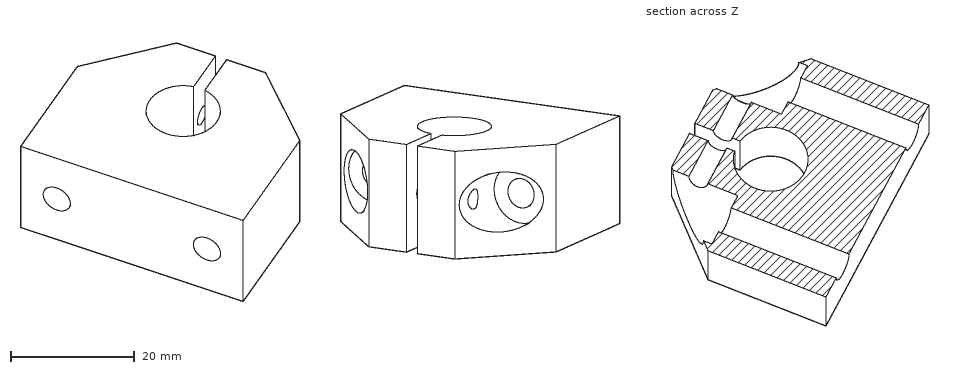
import cadquery as cq

WIDTH = 40.0
DEPTH = 33.0
HEIGHT = 18.0
CORNER_CUT = 12.0

BORE_DIAMETER = 12.0
BORE_Y = 19.0
SLOT_WIDTH = 2.0

SCREW_SPACING = 27.0
SCREW_DIAMETER = 4.9
COUNTERBORE_DIAMETER = 10.0

CLAMP_DIAMETER = 3.3
CLAMP_FROM_REAR = 5.0

MID_HEIGHT = HEIGHT / 2
CORNER_Y = DEPTH - CORNER_CUT


def make_block():
    """Rectangular block with its two rear vertical edges cut at 45 degrees."""
    block = cq.Workplane("XY").box(WIDTH, DEPTH, HEIGHT, centered=(True, False, False))
    return block.edges("|Z and >Y").chamfer(CORNER_CUT)


def make_bore_and_slot():
    """Vertical shaft bore joined to a slot that opens at the rear face."""
    bore = cq.Workplane("XY").center(0, BORE_Y).circle(BORE_DIAMETER / 2).extrude(HEIGHT)
    slot_length = DEPTH - BORE_Y
    slot = (
        cq.Workplane("XY")
        .center(0, BORE_Y + slot_length / 2)
        .rect(SLOT_WIDTH, slot_length)
        .extrude(HEIGHT)
    )
    return bore.union(slot)


def cylinder_along_y(diameter, x, start_y, end_y):
    """Cylinder at mid height, running from start_y to end_y."""
    start = cq.Vector(x, start_y, MID_HEIGHT)
    direction = cq.Vector(0, 1, 0)
    return cq.Solid.makeCylinder(diameter / 2, end_y - start_y, start, direction)


def make_clamp_hole():
    """Clamp screw hole running through the full width."""
    return (
        cq.Workplane("YZ")
        .center(DEPTH - CLAMP_FROM_REAR, MID_HEIGHT)
        .circle(CLAMP_DIAMETER / 2)
        .extrude(WIDTH / 2, both=True)
    )


result = make_block().cut(make_bore_and_slot()).cut(make_clamp_hole())
for screw_x in (-SCREW_SPACING / 2, SCREW_SPACING / 2):
    result = result.cut(cylinder_along_y(SCREW_DIAMETER, screw_x, 0, DEPTH))
    result = result.cut(cylinder_along_y(COUNTERBORE_DIAMETER, screw_x, CORNER_Y, DEPTH))